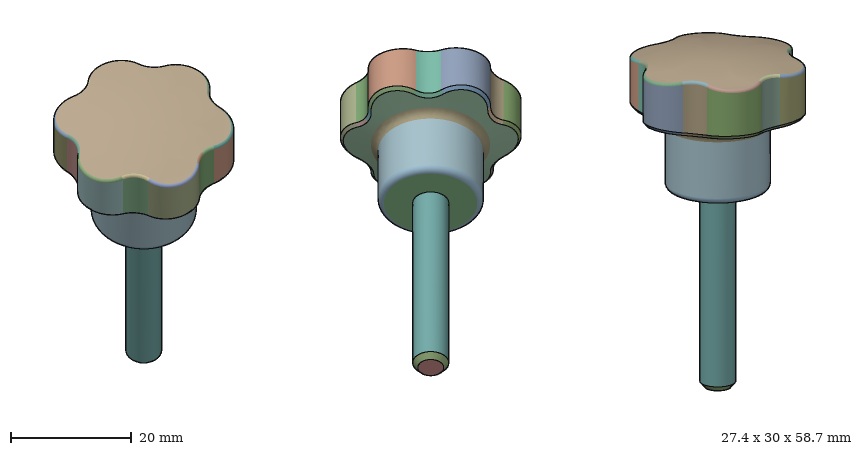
import cadquery as cq
import math

stud_diameter = 6.0
stud_length = 35.0
tip_diameter = 4.3
tip_height = 1.0

collar_diameter = 17.5
collar_edge_radius = 1.0
neck_radius = 1.5

knob_height = 23.65
lobe_count = 6
head_diameter = 30.0
lobe_radius = 5.3
valley_radius = 4.0
first_lobe_angle = math.radians(90)
crown_rise = 1.6
crown_edge_radius = 0.5
underside_rim_z = 13.65
underside_slope = math.tan(math.radians(14))
underside_edge_chamfer = 0.5

stud_radius = stud_diameter / 2
collar_radius = collar_diameter / 2
head_radius = head_diameter / 2
lobe_pitch_radius = head_radius - lobe_radius
half_pitch_angle = math.pi / lobe_count


def polar(radius, angle):
    return (radius * math.cos(angle), radius * math.sin(angle))


def crown_z(radius):
    """Height of the spherical crown at a distance from the axis."""
    sphere_radius = (head_radius ** 2 + crown_rise ** 2) / (2 * crown_rise)
    return knob_height - sphere_radius + math.sqrt(sphere_radius ** 2 - radius ** 2)


def underside_z(radius):
    """Height of the conical underside at a distance from the axis."""
    return underside_rim_z - underside_slope * (head_radius - radius)


def revolve_about_z(profile):
    return profile.revolve(360, (0, 0, 0), (0, 1, 0))


def height_band(bottom_z, top_z):
    """Selector for edges of the head centred between two heights."""
    return cq.selectors.BoxSelector(
        (-head_diameter, -head_diameter, bottom_z),
        (head_diameter, head_diameter, top_z),
    )


def head_outline():
    """Closed outline of convex lobes joined by tangent concave valleys."""
    center_gap = lobe_radius + valley_radius
    along_valley, across_valley = polar(lobe_pitch_radius, half_pitch_angle)
    valley_pitch_radius = along_valley + math.sqrt(center_gap ** 2 - across_valley ** 2)
    valley_floor_radius = valley_pitch_radius - valley_radius

    valley_x, valley_y = polar(valley_pitch_radius, half_pitch_angle)
    joint_share = lobe_radius / center_gap
    joint_x = lobe_pitch_radius + joint_share * (valley_x - lobe_pitch_radius)
    joint_y = joint_share * valley_y
    joint_radius = math.hypot(joint_x, joint_y)
    joint_angle = math.atan2(joint_y, joint_x)

    outline = cq.Workplane("XY").moveTo(*polar(joint_radius, first_lobe_angle - joint_angle))
    for index in range(lobe_count):
        lobe_angle = first_lobe_angle + 2 * half_pitch_angle * index
        valley_angle = lobe_angle + half_pitch_angle
        next_lobe_angle = valley_angle + half_pitch_angle
        outline = outline.threePointArc(
            polar(head_radius, lobe_angle),
            polar(joint_radius, lobe_angle + joint_angle),
        )
        outline = outline.threePointArc(
            polar(valley_floor_radius, valley_angle),
            polar(joint_radius, next_lobe_angle - joint_angle),
        )
    return outline.close()


def head_envelope():
    """Revolved blank, wider than the lobes, with a domed crown and a conical underside."""
    blank_radius = head_radius + lobe_radius
    mid_radius = blank_radius / 2
    profile = (
        cq.Workplane("XZ")
        .moveTo(0, underside_z(0))
        .lineTo(blank_radius, underside_z(blank_radius))
        .lineTo(blank_radius, crown_z(blank_radius))
        .threePointArc((mid_radius, crown_z(mid_radius)), (0, knob_height))
        .close()
    )
    return revolve_about_z(profile)


def grip_head():
    """Lobed prism trimmed by the envelope, rounded at the crown and bevelled underneath."""
    prism_height = knob_height + crown_rise
    mid_z = (knob_height + underside_rim_z) / 2
    head = head_outline().extrude(prism_height).intersect(head_envelope())
    head = head.edges("not |Z").edges(height_band(mid_z, prism_height)).fillet(crown_edge_radius)
    return head.edges("not |Z").edges(height_band(0, mid_z)).chamfer(underside_edge_chamfer)


def collar():
    """Cylinder reaching up into the head, rounded at its lower edge."""
    body = cq.Workplane("XY").circle(collar_radius).extrude(underside_rim_z)
    return body.faces("<Z").edges().fillet(collar_edge_radius)


def blend_neck(knob):
    """Round the inside corner where the collar meets the underside of the head."""
    neck_z = underside_z(collar_radius)
    reach = collar_radius + neck_radius
    neck_corner = cq.selectors.BoxSelector(
        (-reach, -reach, neck_z - neck_radius),
        (reach, reach, neck_z + neck_radius),
        boundingbox=True,
    )
    return knob.edges("%CIRCLE").edges(neck_corner).fillet(neck_radius)


def stud():
    """Rod with a bevelled tip, its upper end buried in the collar."""
    profile = (
        cq.Workplane("XZ")
        .moveTo(0, -stud_length)
        .lineTo(tip_diameter / 2, -stud_length)
        .lineTo(stud_radius, tip_height - stud_length)
        .lineTo(stud_radius, underside_rim_z)
        .lineTo(0, underside_rim_z)
        .close()
    )
    return revolve_about_z(profile)


knob = blend_neck(grip_head().union(collar()))
result = knob.union(stud())